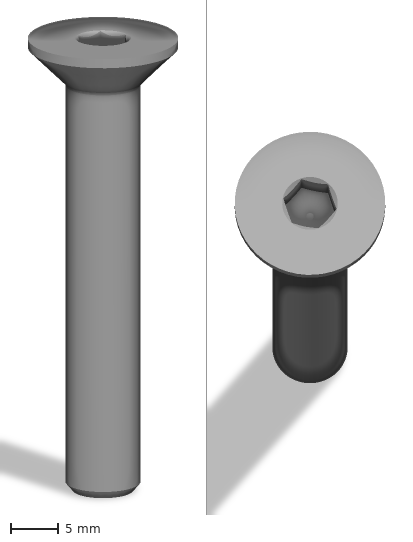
import cadquery as cq
import math

length = 50.0
head_diameter = 16.0
shank_diameter = 8.0

rim_height = 1.0
head_height = 5.0
neck_fillet = 0.45

tip_chamfer_width = 0.75
tip_chamfer_height = 0.9

socket_across_flats = 5.0
socket_depth = 3.0
mouth_diameter = 5.9
mouth_depth = 0.5
drill_flat_diameter = 0.8
drill_slope = 30.0

head_radius = head_diameter / 2
shank_radius = shank_diameter / 2
socket_across_corners = socket_across_flats / math.cos(math.radians(30))
mouth_radius = mouth_diameter / 2
drill_flat_radius = drill_flat_diameter / 2
socket_floor = length - socket_depth


def screw_body():
    """Revolved head, shank and chamfered tip."""
    cone_top = length - rim_height
    head_bottom = length - head_height
    profile = (
        cq.Workplane("XZ")
        .moveTo(0, 0)
        .lineTo(shank_radius - tip_chamfer_width, 0)
        .lineTo(shank_radius, tip_chamfer_height)
        .lineTo(shank_radius, head_bottom)
        .lineTo(head_radius, cone_top)
        .lineTo(head_radius, length)
        .lineTo(0, length)
        .close()
    )
    body = profile.revolve(360, (0, 0, 0), (0, 1, 0))
    neck_edge = cq.selectors.BoxSelector(
        (-head_radius, -head_radius, head_bottom - neck_fillet),
        (head_radius, head_radius, head_bottom + neck_fillet),
    )
    return body.edges(neck_edge).edges("%CIRCLE").fillet(neck_fillet)


def socket_cone(base_z, base_radius, end_radius, depth):
    """Round cone tapering downwards from base_z."""
    return (
        cq.Workplane("XY", origin=(0, 0, base_z))
        .circle(base_radius)
        .workplane(offset=-depth)
        .circle(end_radius)
        .loft()
    )


def hex_socket():
    """Hexagon recess with a drilled conical bottom and a 45 degree countersunk mouth."""
    hexagon = (
        cq.Workplane("XY", origin=(0, 0, length))
        .polygon(6, socket_across_corners)
        .extrude(-length)
    )
    wall = (
        cq.Workplane("XY", origin=(0, 0, socket_floor))
        .circle(mouth_radius)
        .extrude(socket_depth)
    )
    drill_depth = (mouth_radius - drill_flat_radius) * math.tan(math.radians(drill_slope))
    drill_end = socket_cone(socket_floor, mouth_radius, drill_flat_radius, drill_depth)
    mouth_end_radius = mouth_radius - mouth_depth
    mouth = socket_cone(length, mouth_radius, mouth_end_radius, mouth_depth)
    return wall.union(drill_end).intersect(hexagon).union(mouth)


result = screw_body().cut(hex_socket())